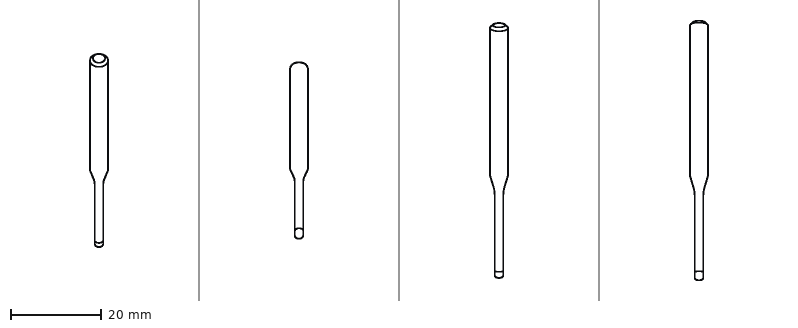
import cadquery as cq
import math

total_length = 60.0
shank_radius = 4.0 / 2
top_chamfer = 0.65

neck_radius = 2.0 / 2
neck_top = 19.7
shank_bottom = 24.2
taper_angle = math.radians(15.8)

head_radius = neck_radius
head_length = 1.6
corner_radius = 0.5

radial_step = shank_radius - neck_radius
transition_height = shank_bottom - neck_top
tangent_length = transition_height - radial_step / math.tan(taper_angle)
blend_radius = tangent_length / math.tan(taper_angle / 2)


def blend_point(angle):
    """Point (radius, height) on the blend arc, turned by angle from the neck."""
    radius = neck_radius + blend_radius * (1 - math.cos(angle))
    height = neck_top + blend_radius * math.sin(angle)
    return radius, height


def make_shank():
    """Chamfered shank, taper, blend arc and neck, turned as one body."""
    return (
        cq.Workplane("XZ")
        .moveTo(0, head_length)
        .lineTo(neck_radius, head_length)
        .lineTo(neck_radius, neck_top)
        .threePointArc(blend_point(taper_angle / 2), blend_point(taper_angle))
        .lineTo(shank_radius, shank_bottom)
        .lineTo(shank_radius, total_length - top_chamfer)
        .lineTo(shank_radius - top_chamfer, total_length)
        .lineTo(0, total_length)
        .close()
        .revolve(360, (0, 0, 0), (0, 1, 0))
    )


def make_cutting_head():
    """Round head, flush with the neck, with a rounded corner around its flat tip."""
    return (
        cq.Workplane("XY")
        .circle(head_radius)
        .extrude(head_length)
        .faces("<Z")
        .edges()
        .fillet(corner_radius)
    )


shank = make_shank()
cutting_head = make_cutting_head()

result = cq.Compound.makeCompound([shank.val(), cutting_head.val()])